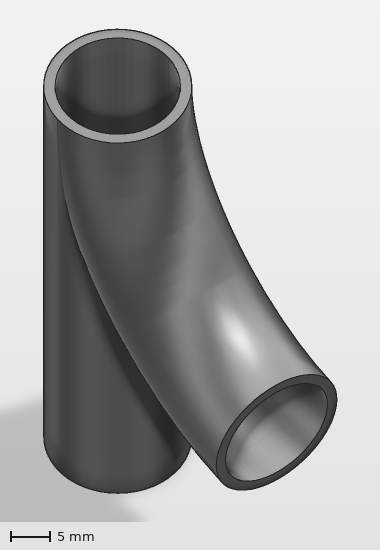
import cadquery as cq

pipe_length = 70.0
outer_diameter = 19.0
bore_diameter = 16.0
bend_radius = 35.0
bend_angle = 90.0

zone_depth = 56.0
zone_reach = 56.0
zone_margin = 7.0
zone_width = 2 * outer_diameter


def straight_run():
    """Tube along Z, standing on the XY plane."""
    return (
        cq.Workplane("XY")
        .circle(outer_diameter / 2)
        .circle(bore_diameter / 2)
        .extrude(pipe_length)
    )


def branch_elbow():
    """Quarter bend of the same tube, from the top of the run down and out to +X."""
    return (
        cq.Workplane("XY", origin=(0, 0, pipe_length))
        .circle(outer_diameter / 2)
        .circle(bore_diameter / 2)
        .revolve(bend_angle, (bend_radius, 0, 0), (bend_radius, -1, 0))
    )


def elbow_zone():
    """Block on the elbow side of the seam.

    A run and an elbow of equal diameter meet where x = depth^2 / (4 * bend_radius),
    with depth measured down from the top. The seam is the same for the outer wall
    and the bore. A quadratic Bezier curve follows this parabola exactly.
    """
    seam_end_x = zone_depth**2 / (4 * bend_radius)
    zone_bottom = pipe_length - zone_depth
    zone_top = pipe_length + zone_margin
    seam = [
        (0, pipe_length),
        (0, pipe_length - zone_depth / 2),
        (seam_end_x, zone_bottom),
    ]
    return (
        cq.Workplane("XZ")
        .moveTo(0, pipe_length)
        .bezier(seam)
        .lineTo(zone_reach, zone_bottom)
        .lineTo(zone_reach, zone_top)
        .lineTo(0, zone_top)
        .close()
        .extrude(zone_width / 2, both=True)
    )


run_side = straight_run().cut(elbow_zone())
elbow_side = branch_elbow().intersect(elbow_zone())
result = run_side.union(elbow_side)